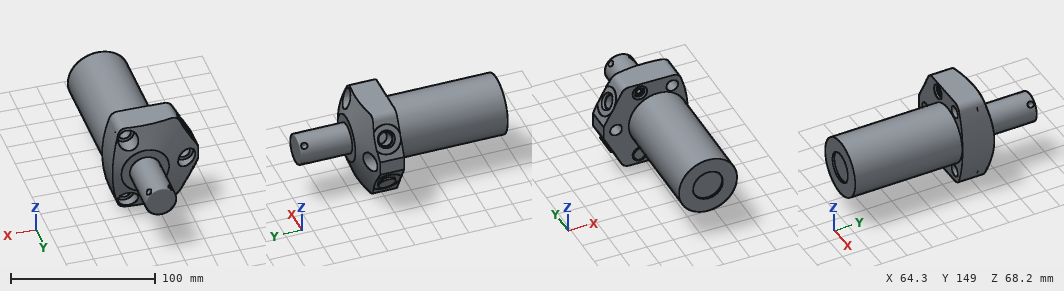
import cadquery as cq
import math

TOTAL_LENGTH = 149.0
OVERLAP = 0.7

BODY_DIAMETER = 44.3
BODY_RADIUS = BODY_DIAMETER / 2
BODY_RECESS_RADIUS = 11.3
BODY_RECESS_DEPTH = 1.5

FLANGE_REAR_Y = 84.0
FLANGE_FRONT_Y = 111.2
FLANGE_THICKNESS = FLANGE_FRONT_Y - FLANGE_REAR_Y
FLANGE_LEFT_X = -41.3
FLANGE_RIGHT_X = 23.0
FLANGE_HALF_HEIGHT = 34.1
LEFT_FLAT_HALF_HEIGHT = 5.4
SLANT_ANGLE = math.radians(61.5)
RIGHT_ARC_RADIUS = 87.9
CORNER_RADIUS = 6.4

CONE_START_RADIUS = 17.3
CONE_END_RADIUS = 59.6
CONE_ANGLE = math.radians(21)

ROD_RADIUS = 11.2
ROD_TIP_FILLET = 0.9
ROD_DIMPLE_RADIUS = 2.4
ROD_DIMPLE_DEPTH = 2.4
ROD_DIMPLE_TIP_OFFSET = 3.6
ROD_DIMPLE_COUNT = 4

MOUNT_HOLE_RADIUS = 4.5
MOUNT_LEFT_X = -31.7
MOUNT_RIGHT_X = 11.0
MOUNT_RIGHT_Z = 25.3
MOUNT_COUNTERBORE_RADIUS = 7.0
MOUNT_COUNTERBORE_FLOOR_Y = 98.3
MOUNT_HOLES = [(MOUNT_LEFT_X, 0), (MOUNT_RIGHT_X, MOUNT_RIGHT_Z), (MOUNT_RIGHT_X, -MOUNT_RIGHT_Z)]

PORT_Z = 18.5
PORT_REAR_OFFSET = 10.5
PORT_Y = FLANGE_REAR_Y + PORT_REAR_OFFSET
SPOTFACE_RADIUS = 10.6
SPOTFACE_DEPTH = 0.3
PORT_MOUTH_RADIUS = 6.4
PORT_SEAT_RADIUS = 5.5
PORT_SEAT_DEPTH = 2.5
PORT_BORE_RADIUS = 4.9
PORT_DEPTH = 14.6
PLUG_HEIGHT = 1.2

REAR_PORT_X = -13.5
REAR_PORT_Z = 26.5
GLAND_RADIUS = 5.5
GLAND_DEPTH = 1.2
RING_RADIUS = 4.6
RING_SECTION_RADIUS = 0.97
RING_PROTRUSION = 0.5
REAR_STEP_RADIUS = 2.5
REAR_STEP_DEPTH = 2.1
REAR_BORE_RADIUS = 1.8
REAR_BORE_DEPTH = 9.0
REAR_PLUG_RADIUS = 4.8
REAR_PLUG_GROOVE_DEPTH = 0.9


def cylinder_y(radius, start_y, end_y, x=0, z=0):
    """Cylinder along +Y between two Y stations."""
    return cq.Workplane(cq.Solid.makeCylinder(
        radius, end_y - start_y, cq.Vector(x, start_y, z), cq.Vector(0, 1, 0)))


def slanted_face_plane(side):
    """Plane on a slanted side at its port, normal outward; side is 1 above the axis and -1 below."""
    port_x = FLANGE_LEFT_X + (PORT_Z - LEFT_FLAT_HALF_HEIGHT) / math.tan(SLANT_ANGLE)
    outward = (-math.sin(SLANT_ANGLE), 0, side * math.cos(SLANT_ANGLE))
    return cq.Plane(origin=(port_x, PORT_Y, side * PORT_Z), xDir=(0, 1, 0), normal=outward)


def flange_plate():
    """Plate outline in XZ, extruded along Y, with rounded top and bottom corners."""
    corner_x = FLANGE_LEFT_X + (FLANGE_HALF_HEIGHT - LEFT_FLAT_HALF_HEIGHT) / math.tan(SLANT_ANGLE)
    arc_drop = RIGHT_ARC_RADIUS - math.sqrt(RIGHT_ARC_RADIUS**2 - FLANGE_HALF_HEIGHT**2)
    right_corner_x = FLANGE_RIGHT_X - arc_drop
    plate = (
        cq.Workplane("XZ", origin=(0, FLANGE_REAR_Y, 0))
        .moveTo(FLANGE_LEFT_X, -LEFT_FLAT_HALF_HEIGHT)
        .lineTo(corner_x, -FLANGE_HALF_HEIGHT)
        .lineTo(right_corner_x, -FLANGE_HALF_HEIGHT)
        .threePointArc((FLANGE_RIGHT_X, 0), (right_corner_x, FLANGE_HALF_HEIGHT))
        .lineTo(corner_x, FLANGE_HALF_HEIGHT)
        .lineTo(FLANGE_LEFT_X, LEFT_FLAT_HALF_HEIGHT)
        .close()
        .extrude(-FLANGE_THICKNESS)
    )
    corners = cq.selectors.BoxSelector(
        (corner_x - OVERLAP, FLANGE_REAR_Y, -FLANGE_HALF_HEIGHT - OVERLAP),
        (right_corner_x + OVERLAP, FLANGE_FRONT_Y, FLANGE_HALF_HEIGHT + OVERLAP))
    return plate.edges("|Y").edges(corners).fillet(CORNER_RADIUS)


def flange_envelope():
    """Turned shape with a conical front that bevels the plate."""
    bevel_drop = (CONE_END_RADIUS - CONE_START_RADIUS) * math.tan(CONE_ANGLE)
    return (
        cq.Workplane("XY")
        .moveTo(0, FLANGE_FRONT_Y)
        .lineTo(CONE_START_RADIUS, FLANGE_FRONT_Y)
        .lineTo(CONE_END_RADIUS, FLANGE_FRONT_Y - bevel_drop)
        .lineTo(CONE_END_RADIUS, FLANGE_REAR_Y - OVERLAP)
        .lineTo(0, FLANGE_REAR_Y - OVERLAP)
        .close()
        .revolve(360, (0, 0, 0), (0, 1, 0))
    )


def flange():
    """Bevelled plate with its mounting holes, counterbored from the front."""
    plate = flange_plate().intersect(flange_envelope())
    for x, z in MOUNT_HOLES:
        plate = plate.cut(cylinder_y(
            MOUNT_HOLE_RADIUS, FLANGE_REAR_Y - OVERLAP, FLANGE_FRONT_Y + OVERLAP, x, z))
        plate = plate.cut(cylinder_y(
            MOUNT_COUNTERBORE_RADIUS, MOUNT_COUNTERBORE_FLOOR_Y, FLANGE_FRONT_Y + OVERLAP, x, z))
    return plate


def body():
    """Cylinder body with a shallow recess in its end face."""
    barrel = cylinder_y(BODY_RADIUS, 0, FLANGE_REAR_Y + OVERLAP)
    return barrel.cut(cylinder_y(BODY_RECESS_RADIUS, -OVERLAP, BODY_RECESS_DEPTH))


def rod():
    """Piston rod with a rounded tip and conical dimples around it."""
    shaft = cylinder_y(ROD_RADIUS, FLANGE_FRONT_Y - OVERLAP, TOTAL_LENGTH)
    shaft = shaft.faces(">Y").edges().fillet(ROD_TIP_FILLET)
    cone_height = ROD_DIMPLE_DEPTH + OVERLAP
    cone_radius = ROD_DIMPLE_RADIUS * cone_height / ROD_DIMPLE_DEPTH
    apex = cq.Vector(ROD_RADIUS - ROD_DIMPLE_DEPTH, TOTAL_LENGTH - ROD_DIMPLE_TIP_OFFSET, 0)
    dimple = cq.Workplane(cq.Solid.makeCone(0, cone_radius, cone_height, apex, cq.Vector(1, 0, 0)))
    spacing = 360 / ROD_DIMPLE_COUNT
    for index in range(ROD_DIMPLE_COUNT):
        shaft = shaft.cut(dimple.rotate((0, 0, 0), (0, 1, 0), spacing * (index + 0.5)))
    return shaft


def spotface(side):
    """Shallow round cut on a slanted side."""
    return (
        cq.Workplane(slanted_face_plane(side))
        .workplane(offset=-SPOTFACE_DEPTH)
        .circle(SPOTFACE_RADIUS)
        .extrude(SPOTFACE_DEPTH + OVERLAP)
    )


def port_bore():
    """Upper side port: tapered mouth, flat seat and blind bore, turned about the port axis."""
    return (
        cq.Workplane(slanted_face_plane(1))
        .transformed(rotate=(90, 0, 0))
        .moveTo(0, 0)
        .lineTo(PORT_MOUTH_RADIUS, 0)
        .lineTo(PORT_SEAT_RADIUS, -PORT_SEAT_DEPTH)
        .lineTo(PORT_BORE_RADIUS, -PORT_SEAT_DEPTH)
        .lineTo(PORT_BORE_RADIUS, -PORT_DEPTH)
        .lineTo(0, -PORT_DEPTH)
        .close()
        .revolve(360, (0, 0, 0), (0, 1, 0))
    )


def port_plug():
    """Plug head standing out of the lower side port."""
    return (
        cq.Workplane(slanted_face_plane(-1))
        .workplane(offset=-OVERLAP)
        .circle(PORT_MOUTH_RADIUS)
        .extrude(OVERLAP + PLUG_HEIGHT)
    )


def rear_gland():
    """Upper rear port: a counterbore for the sealing ring, then a step and a blind bore."""
    steps = [
        (GLAND_RADIUS, GLAND_DEPTH),
        (REAR_STEP_RADIUS, REAR_STEP_DEPTH),
        (REAR_BORE_RADIUS, REAR_BORE_DEPTH),
    ]
    start_y = FLANGE_REAR_Y - OVERLAP
    port = cq.Workplane()
    for radius, depth in steps:
        port = port.add(cylinder_y(radius, start_y, FLANGE_REAR_Y + depth, REAR_PORT_X, REAR_PORT_Z))
    return port.combine()


def sealing_ring():
    """Sealing ring seated in the upper rear port and standing slightly proud."""
    centre_y = FLANGE_REAR_Y - RING_PROTRUSION + RING_SECTION_RADIUS
    centre = cq.Vector(REAR_PORT_X, centre_y, REAR_PORT_Z)
    return cq.Workplane(cq.Solid.makeTorus(RING_RADIUS, RING_SECTION_RADIUS, centre, cq.Vector(0, 1, 0)))


def rear_plug_groove():
    """Ring groove around the flush plug of the lower rear port."""
    start_y = FLANGE_REAR_Y - OVERLAP
    end_y = FLANGE_REAR_Y + REAR_PLUG_GROOVE_DEPTH
    outer = cylinder_y(GLAND_RADIUS, start_y, end_y, REAR_PORT_X, -REAR_PORT_Z)
    return outer.cut(cylinder_y(REAR_PLUG_RADIUS, start_y, end_y, REAR_PORT_X, -REAR_PORT_Z))


result = (
    flange()
    .cut(spotface(1))
    .cut(spotface(-1))
    .cut(port_bore())
    .union(port_plug())
    .cut(rear_gland())
    .union(sealing_ring())
    .cut(rear_plug_groove())
    .union(body())
    .union(rod())
)